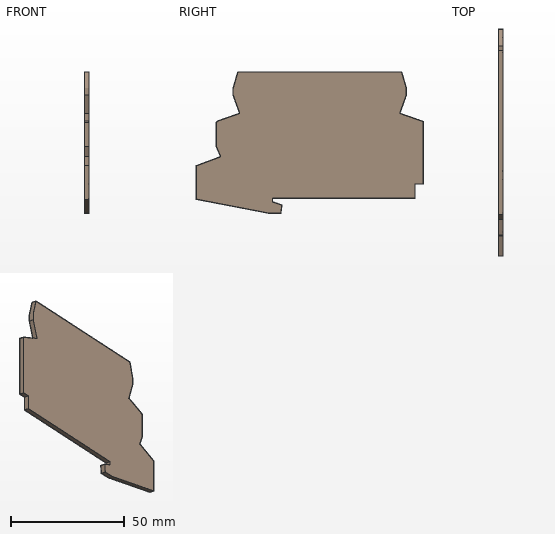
import cadquery as cq

thickness = 2.2
length = 100.0
height = 62.3

back = length / 2
front = -length / 2
top = height / 2
bottom = -height / 2

shoulder_half = 45.6
bulge_half = 38.2
head_half = 36.1
notch_half = 35.3
body_centre = back - shoulder_half

bulge_top = top - 7.2
bulge_bottom = top - 10.2
notch_level = top - 18.2
shoulder_level = top - 21.8
front_chamfer = 0.6
front_chamfer_top = top - 21.6

step_depth = 3.6
step_level = top - 49.4
base_level = top - 55.7

shoulder_bottom = top - 32.8
foot_notch_depth = 1.9
foot_notch_level = top - 37.3
foot_top = top - 41.3
foot_bottom = top - 56.1

hook_heel = back - 67.9
hook_toe = back - 62.7
hook_tip = back - 62.2
hook_root = back - 66.3
hook_tip_level = top - 58.6
hook_root_level = top - 57.2


def body_side(side):
    """Points down one side of the upper body to its notch; side is +1 for the rear, -1 for the front."""
    levels = [
        (head_half, top),
        (bulge_half, bulge_top),
        (bulge_half, bulge_bottom),
        (notch_half, notch_level),
    ]
    return [(body_centre + side * half, z) for half, z in levels]


shoulder_front = body_centre - shoulder_half

front_shoulder = [
    (shoulder_front + front_chamfer, front_chamfer_top),
    (shoulder_front, front_chamfer_top - front_chamfer),
    (shoulder_front, shoulder_bottom),
]

foot = [
    (shoulder_front + foot_notch_depth, foot_notch_level),
    (front, foot_top),
    (front, foot_bottom),
]

hook = [
    (hook_heel, bottom),
    (hook_toe, bottom),
    (hook_tip, hook_tip_level),
    (hook_root, hook_root_level),
    (hook_root, base_level),
]

rear_edge = [
    (back - step_depth, base_level),
    (back - step_depth, step_level),
    (back, step_level),
    (back, shoulder_level),
]

outline = body_side(-1) + front_shoulder + foot + hook + rear_edge + body_side(1)[::-1]

result = cq.Workplane("YZ").polyline(outline).close().extrude(thickness / 2, both=True)